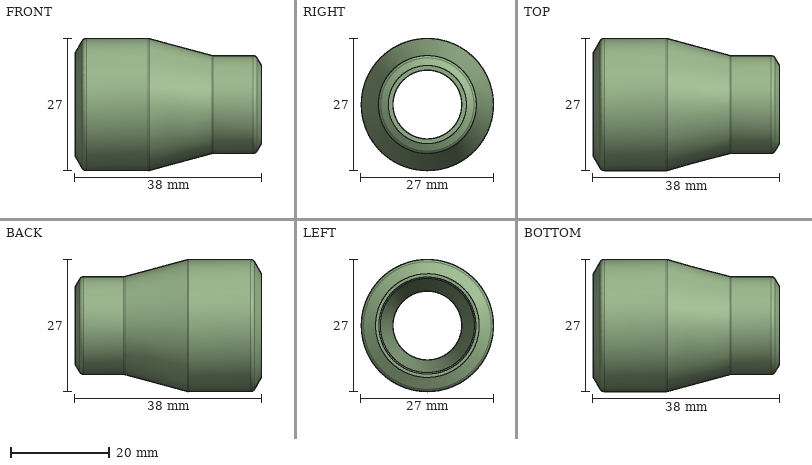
import cadquery as cq
import math

length = 38.0
large_diameter = 27.0
small_diameter = 20.0
large_bore = 19.2
small_bore = 14.0

cone_start = 15.0
cone_end = 28.0
bore_cone_start = 10.0

land_width = 1.0
bevel_angle = 30.0
edge_radius = 1.0

mouth_width = 0.3
mouth_depth = 0.38

large_radius = large_diameter / 2
small_radius = small_diameter / 2
large_bore_radius = large_bore / 2
small_bore_radius = small_bore / 2
large_land_radius = large_bore_radius + land_width
small_land_radius = small_bore_radius + land_width


def bevel_depth(outer_radius, land_radius):
    """Axial depth of the bevel between the land and the outside."""
    return (outer_radius - land_radius) * math.tan(math.radians(bevel_angle))


def make_outside():
    """Solid of revolution with beveled ends and rounded outer corners."""
    large_bevel_end = bevel_depth(large_radius, large_land_radius)
    small_bevel_start = length - bevel_depth(small_radius, small_land_radius)
    corner_positions = [large_bevel_end, cone_start, cone_end, small_bevel_start]
    profile = (
        cq.Workplane("XY")
        .moveTo(0, 0)
        .lineTo(0, large_land_radius)
        .lineTo(large_bevel_end, large_radius)
        .lineTo(cone_start, large_radius)
        .lineTo(cone_end, small_radius)
        .lineTo(small_bevel_start, small_radius)
        .lineTo(length, small_land_radius)
        .lineTo(length, 0)
        .close()
    )
    body = profile.revolve(360, (0, 0, 0), (1, 0, 0))
    position_tolerance = 0.005
    corner_circles = [
        edge
        for edge in body.edges("%CIRCLE").vals()
        if any(abs(edge.Center().x - x) < position_tolerance for x in corner_positions)
    ]
    return body.newObject(corner_circles).fillet(edge_radius)


def make_bore():
    """Through bore that narrows along the cone, with a chamfered mouth."""
    profile = (
        cq.Workplane("XY")
        .moveTo(0, 0)
        .lineTo(0, large_bore_radius + mouth_width)
        .lineTo(mouth_depth, large_bore_radius)
        .lineTo(bore_cone_start, large_bore_radius)
        .lineTo(cone_end, small_bore_radius)
        .lineTo(length, small_bore_radius)
        .lineTo(length, 0)
        .close()
    )
    return profile.revolve(360, (0, 0, 0), (1, 0, 0))


result = make_outside().cut(make_bore())